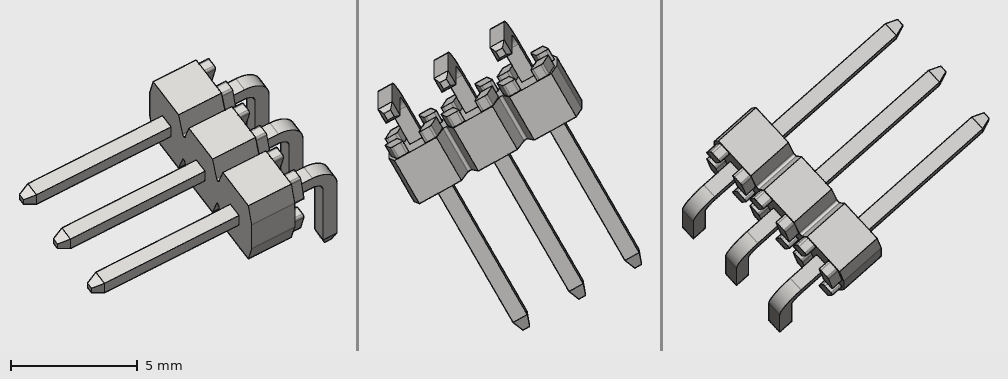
import cadquery as cq
import math


PIN_COUNT = 3
BODY_LENGTH = 7.62
PITCH = BODY_LENGTH / PIN_COUNT
BODY_HEIGHT = 3.6
BODY_DEPTH = 2.0
END_TAPER_WIDTH = 0.25
END_TAPER_HEIGHT = 1.0

NOTCH_HALF_WIDTH = 0.38
NOTCH_DEPTH = 1.02
NOTCH_WALL_ANGLE = math.radians(17.5)
NOTCH_RADIUS = (
    NOTCH_HALF_WIDTH * math.cos(NOTCH_WALL_ANGLE) - NOTCH_DEPTH * math.sin(NOTCH_WALL_ANGLE)
) / (1 - math.sin(NOTCH_WALL_ANGLE))

FOOT_DEPTH = 0.5
FOOT_WIDTH = 0.57
FOOT_LEAN = 0.28
FOOT_OUTER_Z = 1.7
FOOT_INNER_Z = 0.53
FOOT_OUTER_X = 0.9
FOOT_RADIUS = 0.1

OVERALL_DEPTH = 11.32
OVERALL_HEIGHT = 6.5
PIN_SIZE = 0.65
PIN_REAR_REACH = 2.56
BEND_INNER_RADIUS = 0.5
TIP_LENGTH = 0.5
TIP_SIZE = 0.3

HALF_LENGTH = BODY_LENGTH / 2
HALF_HEIGHT = BODY_HEIGHT / 2
PIN_XS = [(i - (PIN_COUNT - 1) / 2) * PITCH for i in range(PIN_COUNT)]
NOTCH_XS = [x + PITCH / 2 for x in PIN_XS[:-1]]


def extrude_back(outline, y_start, depth):
    """Extrude a closed XZ outline toward +Y, starting at y_start."""
    return outline.extrude(-depth).translate((0, y_start, 0))


def make_notch(x):
    """Round-bottomed V notch in the top edge of the body."""
    floor_z = HALF_HEIGHT - NOTCH_DEPTH
    arc_center_z = floor_z + NOTCH_RADIUS
    tangent_x = NOTCH_RADIUS * math.cos(NOTCH_WALL_ANGLE)
    tangent_z = arc_center_z - NOTCH_RADIUS * math.sin(NOTCH_WALL_ANGLE)
    outline = (
        cq.Workplane("XZ")
        .moveTo(x - NOTCH_HALF_WIDTH, HALF_HEIGHT)
        .lineTo(x - tangent_x, tangent_z)
        .threePointArc((x, floor_z), (x + tangent_x, tangent_z))
        .lineTo(x + NOTCH_HALF_WIDTH, HALF_HEIGHT)
        .close()
    )
    return extrude_back(outline, 0, BODY_DEPTH)


def make_body():
    """Block with tapered ends and notches along its top and bottom edges."""
    top_x = HALF_LENGTH - END_TAPER_WIDTH
    side_z = HALF_HEIGHT - END_TAPER_HEIGHT
    outline = cq.Workplane("XZ").polyline([
        (-top_x, HALF_HEIGHT),
        (top_x, HALF_HEIGHT),
        (HALF_LENGTH, side_z),
        (HALF_LENGTH, -side_z),
        (top_x, -HALF_HEIGHT),
        (-top_x, -HALF_HEIGHT),
        (-HALF_LENGTH, -side_z),
        (-HALF_LENGTH, side_z),
    ]).close()
    body = extrude_back(outline, 0, BODY_DEPTH)
    for x in NOTCH_XS:
        notch = make_notch(x)
        body = body.cut(notch).cut(notch.mirror("XY"))
    return body


def make_feet():
    """Four leaning, rounded feet around one pin, centred on X = 0."""
    outline = cq.Workplane("XZ").polyline([
        (-FOOT_OUTER_X, FOOT_OUTER_Z),
        (-FOOT_OUTER_X + FOOT_WIDTH, FOOT_OUTER_Z),
        (-FOOT_OUTER_X + FOOT_WIDTH - FOOT_LEAN, FOOT_INNER_Z),
        (-FOOT_OUTER_X - FOOT_LEAN, FOOT_INNER_Z),
    ]).close()
    foot = extrude_back(outline, BODY_DEPTH, FOOT_DEPTH).edges("|Y").fillet(FOOT_RADIUS)
    upper_pair = foot.union(foot.mirror("YZ"))
    return upper_pair.union(upper_pair.mirror("XY"))


def make_tip(plane):
    """Tapered tip growing along the normal of the given plane."""
    return (
        cq.Workplane(plane)
        .rect(PIN_SIZE, PIN_SIZE)
        .workplane(offset=TIP_LENGTH)
        .rect(TIP_SIZE, TIP_SIZE)
        .loft(ruled=True)
    )


def make_pin():
    """Square pin bent down behind the body, tapered at both ends, centred on X = 0."""
    rear_y = BODY_DEPTH + PIN_REAR_REACH
    front_y = rear_y - OVERALL_DEPTH + TIP_LENGTH
    bottom_z = HALF_HEIGHT - OVERALL_HEIGHT + TIP_LENGTH
    half = PIN_SIZE / 2
    bend_radius = BEND_INNER_RADIUS + half
    leg_y = rear_y - half
    path = (
        cq.Workplane("YZ")
        .moveTo(front_y, 0)
        .lineTo(leg_y - bend_radius, 0)
        .tangentArcPoint((leg_y, -bend_radius), relative=False)
        .lineTo(leg_y, bottom_z)
    )
    front_plane = cq.Plane(origin=(0, front_y, 0), xDir=(1, 0, 0), normal=(0, -1, 0))
    bottom_plane = cq.Plane(origin=(0, leg_y, bottom_z), xDir=(1, 0, 0), normal=(0, 0, -1))
    shank = cq.Workplane(front_plane).rect(PIN_SIZE, PIN_SIZE).sweep(path)
    return shank.union(make_tip(front_plane)).union(make_tip(bottom_plane))


result = make_body()
pin_with_feet = make_pin().union(make_feet())
for pin_x in PIN_XS:
    result = result.union(pin_with_feet.translate((pin_x, 0, 0)))